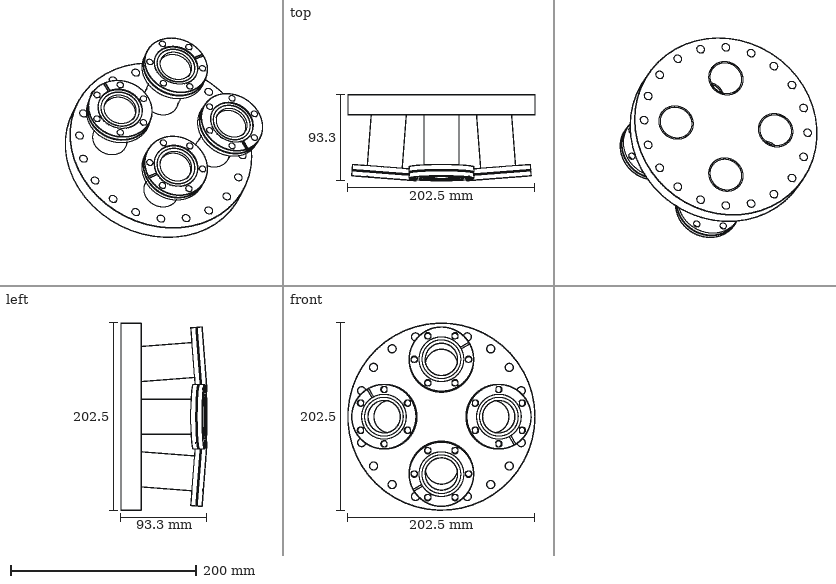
import cadquery as cq
import math

base_diameter = 202.5
base_thickness = 22.0
base_edge_chamfer = 0.5
base_bolt_count = 20
base_bolt_circle = 181.1
base_bolt_diameter = 8.5

port_count = 4
port_tilt = 4.4
port_face_radius = 62.1
overall_depth = 93.3

tube_diameter = 38.0
tube_bore = 35.0
tube_end_depth = 6.0

port_diameter = 70.0
port_thickness = 12.5
port_edge_chamfer = 0.5
port_bolt_count = 6
port_bolt_circle = 58.7
port_bolt_diameter = 6.9

recess_diameter = 48.4
recess_depth = 1.8
knife_diameter = 41.9
knife_tip_depth = 0.6
inner_ledge_depth = 1.5

rim_groove_width = 1.6
rim_groove_depth = 0.5
leak_groove_angle = 30.0
leak_groove_width = 2.0
leak_groove_depth = 1.0

tilt_sine = math.sin(math.radians(port_tilt))
tilt_cosine = math.cos(math.radians(port_tilt))
port_face_depth = overall_depth - port_diameter / 2 * tilt_sine
port_angles = [index * 360.0 / port_count for index in range(port_count)]

port_frame = cq.Plane(
    origin=(0, -port_face_depth, port_face_radius),
    xDir=(1, 0, 0),
    normal=(0, -tilt_cosine, tilt_sine),
)


def place_port_part(part, angle):
    """Move a part from the local port frame to the port at the given angle about Y."""
    placed = part.val().located(port_frame.location)
    return cq.Workplane(placed).rotate((0, 0, 0), (0, 1, 0), angle)


def make_rod(diameter, end_depth):
    """Port-axis cylinder from end_depth behind the face to well past the base back."""
    return cq.Workplane("XY").workplane(offset=-end_depth).circle(diameter / 2).extrude(-base_diameter)


def make_base():
    """Large flange with its bolt circle and one slanted tube hole per port."""
    base = cq.Workplane("XZ").circle(base_diameter / 2).extrude(base_thickness)
    base = base.faces("<Y or >Y").chamfer(base_edge_chamfer)
    bolts = (
        cq.Workplane("XZ")
        .polarArray(base_bolt_circle / 2, 0, 360, base_bolt_count)
        .circle(base_bolt_diameter / 2)
        .extrude(base_thickness)
    )
    base = base.cut(bolts)
    for angle in port_angles:
        base = base.cut(place_port_part(make_rod(tube_diameter, tube_end_depth), angle))
    return base


def make_tube(angle):
    """Slanted tube, trimmed flush with the back of the base flange."""
    local_tube = make_rod(tube_diameter, tube_end_depth).cut(make_rod(tube_bore, tube_end_depth))
    room = cq.Workplane("XZ").rect(2 * base_diameter, 2 * base_diameter).extrude(base_diameter)
    return place_port_part(local_tube, angle).intersect(room)


def make_port_body():
    """Revolved port flange: rim, bore, tube socket and knife-edge recess."""
    rim = port_diameter / 2
    return (
        cq.Workplane("XZ")
        .moveTo(tube_diameter / 2, -port_thickness)
        .lineTo(rim, -port_thickness)
        .lineTo(rim, -port_edge_chamfer)
        .lineTo(rim - port_edge_chamfer, 0)
        .lineTo(recess_diameter / 2, 0)
        .lineTo(recess_diameter / 2, -recess_depth)
        .lineTo(knife_diameter / 2, -knife_tip_depth)
        .lineTo(knife_diameter / 2, -inner_ledge_depth)
        .lineTo(tube_bore / 2, -inner_ledge_depth)
        .lineTo(tube_bore / 2, -tube_end_depth)
        .lineTo(tube_diameter / 2, -tube_end_depth)
        .close()
        .revolve(360, (0, 0, 0), (0, 1, 0))
    )


def make_rim_groove():
    """V-shaped ring that cuts the groove at mid-thickness of the rim."""
    rim = port_diameter / 2
    middle = -port_thickness / 2
    return (
        cq.Workplane("XZ")
        .moveTo(rim, middle - rim_groove_width / 2)
        .lineTo(rim, middle + rim_groove_width / 2)
        .lineTo(rim - rim_groove_depth, middle)
        .close()
        .revolve(360, (0, 0, 0), (0, 1, 0))
    )


def make_leak_groove():
    """Bar that cuts the leak-check groove from the recess out through the rim."""
    start = (recess_diameter - leak_groove_width) / 2
    length = port_diameter / 2 - start
    return (
        cq.Workplane("XY")
        .box(length, leak_groove_width, leak_groove_depth, centered=(False, True, False))
        .translate((start, 0, -leak_groove_depth))
        .rotate((0, 0, 0), (0, 0, 1), leak_groove_angle)
    )


def make_port_flange(angle):
    """Port flange with its grooves and bolt holes, placed on its tube."""
    bolts = (
        cq.Workplane("XY")
        .polarArray(port_bolt_circle / 2, 0, 360, port_bolt_count)
        .circle(port_bolt_diameter / 2)
        .extrude(-port_thickness)
    )
    flange = make_port_body().cut(make_rim_groove()).cut(make_leak_groove()).cut(bolts)
    return place_port_part(flange, angle)


base_flange = make_base()
tubes = [make_tube(angle) for angle in port_angles]
port_flanges = [make_port_flange(angle) for angle in port_angles]

result = cq.Compound.makeCompound(
    [base_flange.val()]
    + [tube.val().Solids()[0] for tube in tubes]
    + [flange.val().Solids()[0] for flange in port_flanges]
)